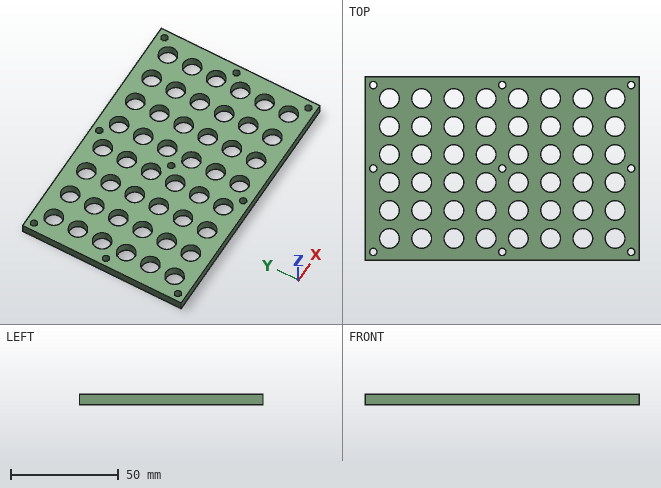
import cadquery as cq

length = 127.6
width = 85.5
thickness = 5.0

screw_count = 3
screw_pitch_x = 60.0
screw_pitch_y = 38.8
screw_hole_diameter = 3.3

grid_columns = 8
grid_rows = 6
columns_per_screw_pitch = 4
grid_pitch_x = screw_pitch_x / columns_per_screw_pitch
grid_pitch_y = 13.0
grid_hole_diameter = 9.0


def drill_grid(plate, pitch_x, pitch_y, columns, rows, diameter):
    """Drill a centred rectangular grid of through holes."""
    return plate.faces(">Z").workplane().rarray(pitch_x, pitch_y, columns, rows).hole(diameter)


plate = cq.Workplane("XY").box(length, width, thickness)
plate = drill_grid(
    plate, grid_pitch_x, grid_pitch_y, grid_columns, grid_rows, grid_hole_diameter
)
result = drill_grid(
    plate, screw_pitch_x, screw_pitch_y, screw_count, screw_count, screw_hole_diameter
)